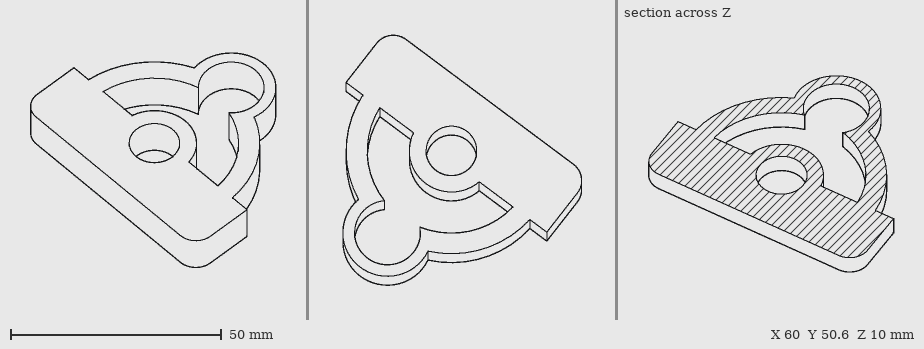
import cadquery as cq

base_width = 60.0
base_depth = 17.0
corner_radius = 5.0
thickness = 10.0

pivot_y = 15.0
pivot_hole_diameter = 12.0
boss_radius = 10.0

arch_outer_radius = 25.0
arch_inner_radius = 20.0

ring_y = pivot_y + arch_outer_radius
ring_outer_radius = 10.6
ring_hole_radius = 7.8


def disc(radius, center_y):
    """Full-thickness cylinder on the part's centre line."""
    return cq.Workplane("XY").center(0, center_y).circle(radius).extrude(thickness)


def make_base():
    """Bar with its two front corners rounded."""
    bar = cq.Workplane("XY").box(base_width, base_depth, thickness, centered=(True, False, False))
    return bar.edges("|Z and <Y").fillet(corner_radius)


def make_arch_and_ring():
    """Arch joined to the ring; the ring hole opens into the arch, all kept behind the pivot."""
    outline = disc(arch_outer_radius, pivot_y).union(disc(ring_outer_radius, ring_y))
    frame = outline.cut(disc(arch_inner_radius, pivot_y)).cut(disc(ring_hole_radius, ring_y))
    rear_depth = arch_outer_radius + ring_outer_radius
    rear_half = (
        cq.Workplane("XY")
        .box(base_width, rear_depth, thickness, centered=(True, False, False))
        .translate((0, pivot_y, 0))
    )
    return frame.intersect(rear_half)


body = make_base().union(make_arch_and_ring()).union(disc(boss_radius, pivot_y))
result = body.cut(disc(pivot_hole_diameter / 2, pivot_y))